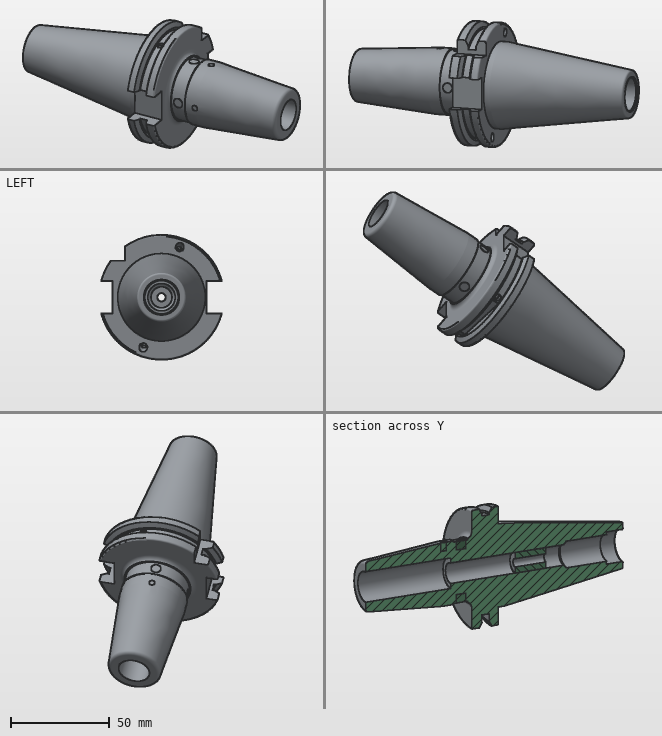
import cadquery as cq
import math

AXIS_START = (0, 0, 0)
AXIS_END = (1, 0, 0)
TOTAL_LENGTH = 148.4

GAUGE_X = 68.4
GAUGE_RADIUS = 22.3
TAPER_RATIO = 7 / 24
TAPER_END_RADIUS = GAUGE_RADIUS - GAUGE_X * TAPER_RATIO / 2
TAPER_END_FILLET = 1.0

FLANGE_X = 71.7
FLANGE_WIDTH = 15.7
FLANGE_END_X = FLANGE_X + FLANGE_WIDTH
FLANGE_RADIUS = 31.8
FLANGE_FILLET = 0.9

GROOVE_X = 79.2
GROOVE_WIDTH = 4.0
GROOVE_BOTTOM_RADIUS = 28.0
GROOVE_WALL_RADIUS = 29.1
GROOVE_HALF_ANGLE = 30.0
GROOVE_RIM_WIDTH = GROOVE_WIDTH + 2 * (FLANGE_RADIUS - GROOVE_WALL_RADIUS) * math.tan(
    math.radians(GROOVE_HALF_ANGLE)
)

FLAT_DISTANCE = 24.0
FLAT_ANGLE = 16.0

SLOT_WIDTH = 16.3
DEEP_SLOT_FLOOR = 22.9
SHALLOW_SLOT_FLOOR = 25.0
NOTCH_WALL = 18.5

COLLAR_RADIUS = 17.0
COLLAR_END_X = 103.9
SHOULDER_FILLET = 3.0
NECK_X = 89.5
NECK_END_X = 97.5
NECK_RADIUS = 16.5
NOSE_RADIUS = 13.5
NOSE_FILLET = 2.0

MOUTH_RADIUS = 9.0
COUNTERBORE_RADIUS = 8.5
COUNTERBORE_DEPTH = 9.5
THREAD_RADIUS = 7.0
THREAD_END_X = 32.6
SCREW_BORE_RADIUS = 5.3
TOOL_BORE_X = 99.5
TOOL_BORE_RADIUS = 8.0

SCREW_X = 44.5
SCREW_LENGTH = 17.8
SCREW_HOLE_RADIUS = 2.1

DUCT_ANGLE = 20.0
DUCT_TILT = 20.0
DUCT_RADIUS = 2.1
DUCT_PITCH_RADIUS = 27.2
DUCT_LENGTH = 12.2
CROSS_HOLE_RADIUS = 1.6
CROSS_HOLE_DEPTH = 6.0

PLUG_DEPTH = 4.5
BALANCE_PLUG_X = 93.3
BALANCE_PLUG_RADIUS = 2.5
BALANCE_PLUG_ANGLES = (0, 90, 180, 270)
COOLANT_PLUG_X = 103.5
COOLANT_PLUG_RADIUS = 1.5
COOLANT_PLUG_ANGLES = (0, 90)

CLEARANCE = 1.5


def turn(body, angle):
    return body.rotate(AXIS_START, AXIS_END, angle)


def revolve(profile):
    return profile.close().revolve(360, AXIS_START, AXIS_END)


def rod(radius, start_x, length):
    return cq.Workplane("YZ", origin=(start_x, 0, 0)).circle(radius).extrude(length)


def radial_pin(x, top_radius, radius, depth, angle):
    """Cylinder that runs from top_radius toward the axis."""
    pin = cq.Workplane("XY", origin=(x, 0, top_radius)).circle(radius).extrude(-depth)
    return turn(pin, angle)


def make_taper():
    taper = revolve(
        cq.Workplane("XZ")
        .lineTo(0, TAPER_END_RADIUS)
        .lineTo(GAUGE_X, GAUGE_RADIUS)
        .lineTo(FLANGE_X, GAUGE_RADIUS)
        .lineTo(FLANGE_X, 0)
    )
    return taper.faces("<X").edges().fillet(TAPER_END_FILLET)


def make_flange():
    flange = rod(FLANGE_RADIUS, FLANGE_X, FLANGE_WIDTH)
    return flange.edges().fillet(FLANGE_FILLET)


def make_front_end():
    front = revolve(
        cq.Workplane("XZ")
        .moveTo(FLANGE_END_X, 0)
        .lineTo(FLANGE_END_X, COLLAR_RADIUS + SHOULDER_FILLET)
        .radiusArc((FLANGE_END_X + SHOULDER_FILLET, COLLAR_RADIUS), -SHOULDER_FILLET)
        .lineTo(COLLAR_END_X, COLLAR_RADIUS)
        .lineTo(TOTAL_LENGTH, NOSE_RADIUS)
        .lineTo(TOTAL_LENGTH, 0)
    )
    front = front.faces(">X").edges().fillet(NOSE_FILLET)
    neck_length = NECK_END_X - NECK_X
    relief = rod(COLLAR_RADIUS + SHOULDER_FILLET, NECK_X, neck_length).cut(rod(NECK_RADIUS, NECK_X, neck_length))
    return front.cut(relief)


def gripper_groove():
    half_bottom = GROOVE_WIDTH / 2
    half_rim = GROOVE_RIM_WIDTH / 2
    return revolve(
        cq.Workplane("XZ")
        .moveTo(GROOVE_X - half_bottom, GROOVE_BOTTOM_RADIUS)
        .lineTo(GROOVE_X - half_bottom, GROOVE_WALL_RADIUS)
        .lineTo(GROOVE_X - half_rim, FLANGE_RADIUS)
        .lineTo(GROOVE_X - half_rim, FLANGE_RADIUS + CLEARANCE)
        .lineTo(GROOVE_X + half_rim, FLANGE_RADIUS + CLEARANCE)
        .lineTo(GROOVE_X + half_rim, FLANGE_RADIUS)
        .lineTo(GROOVE_X + half_bottom, GROOVE_WALL_RADIUS)
        .lineTo(GROOVE_X + half_bottom, GROOVE_BOTTOM_RADIUS)
    )


def groove_flat():
    depth = FLANGE_RADIUS - FLAT_DISTANCE
    cutter = cq.Workplane("XY", origin=(GROOVE_X, 0, -FLAT_DISTANCE)).rect(GROOVE_WIDTH, 2 * FLANGE_RADIUS)
    return turn(cutter.extrude(-depth), -FLAT_ANGLE)


def flange_block(y_start, y_end, z_start, z_end):
    """Box across the whole flange width."""
    block = cq.Workplane("XY").box(FLANGE_WIDTH, y_end - y_start, z_end - z_start, centered=False)
    return block.translate((FLANGE_X, y_start, z_start))


def flange_cutouts():
    outside = FLANGE_RADIUS + CLEARANCE
    half_slot = SLOT_WIDTH / 2
    return [
        flange_block(-outside, -DEEP_SLOT_FLOOR, -half_slot, half_slot),
        flange_block(SHALLOW_SLOT_FLOOR, outside, -half_slot, half_slot),
        flange_block(NOTCH_WALL, outside, NOTCH_WALL, outside),
    ]


def axial_bores():
    return revolve(
        cq.Workplane("XZ")
        .lineTo(0, MOUTH_RADIUS)
        .lineTo(MOUTH_RADIUS - COUNTERBORE_RADIUS, COUNTERBORE_RADIUS)
        .lineTo(COUNTERBORE_DEPTH, COUNTERBORE_RADIUS)
        .lineTo(COUNTERBORE_DEPTH, THREAD_RADIUS)
        .lineTo(THREAD_END_X, THREAD_RADIUS)
        .lineTo(THREAD_END_X + THREAD_RADIUS - SCREW_BORE_RADIUS, SCREW_BORE_RADIUS)
        .lineTo(TOOL_BORE_X, SCREW_BORE_RADIUS)
        .lineTo(TOOL_BORE_X, TOOL_BORE_RADIUS)
        .lineTo(TOTAL_LENGTH, TOOL_BORE_RADIUS)
        .lineTo(TOTAL_LENGTH, 0)
    )


def coolant_duct(angle):
    tilt = math.radians(DUCT_TILT)
    along = cq.Vector(math.cos(tilt), 0, -math.sin(tilt))
    mouth = cq.Vector(FLANGE_X, 0, DUCT_PITCH_RADIUS)
    start = mouth - along * CLEARANCE
    tilted = cq.Workplane(cq.Plane(start, (0, 1, 0), along)).circle(DUCT_RADIUS).extrude(DUCT_LENGTH + CLEARANCE)
    top_radius = GROOVE_BOTTOM_RADIUS + CLEARANCE
    cross = radial_pin(GROOVE_X, top_radius, CROSS_HOLE_RADIUS, CROSS_HOLE_DEPTH + CLEARANCE, 0)
    return turn(tilted.union(cross), angle)


def make_balance_plug(angle):
    return radial_pin(BALANCE_PLUG_X, NECK_RADIUS, BALANCE_PLUG_RADIUS, PLUG_DEPTH, angle)


def make_coolant_plug(angle):
    return radial_pin(COOLANT_PLUG_X, COLLAR_RADIUS, COOLANT_PLUG_RADIUS, PLUG_DEPTH, angle)


def make_stop_screw():
    screw = rod(SCREW_BORE_RADIUS, SCREW_X, SCREW_LENGTH)
    return screw.cut(rod(SCREW_HOLE_RADIUS, SCREW_X, SCREW_LENGTH))


def make_holder(plugs):
    """One-piece holder with a matching seat for every plug."""
    holder = make_taper().union(make_flange()).union(make_front_end())
    cutters = [gripper_groove(), groove_flat(), axial_bores()]
    cutters += flange_cutouts()
    cutters += [coolant_duct(DUCT_ANGLE), coolant_duct(DUCT_ANGLE + 180)]
    for cutter in cutters + plugs:
        holder = holder.cut(cutter)
    return holder


balance_plugs = [make_balance_plug(angle) for angle in BALANCE_PLUG_ANGLES]
coolant_plugs = [make_coolant_plug(angle) for angle in COOLANT_PLUG_ANGLES]
plugs = balance_plugs + coolant_plugs
stop_screw = make_stop_screw()
holder = make_holder(plugs)

result = cq.Compound.makeCompound([holder.val(), stop_screw.val(), *[plug.val() for plug in plugs]])